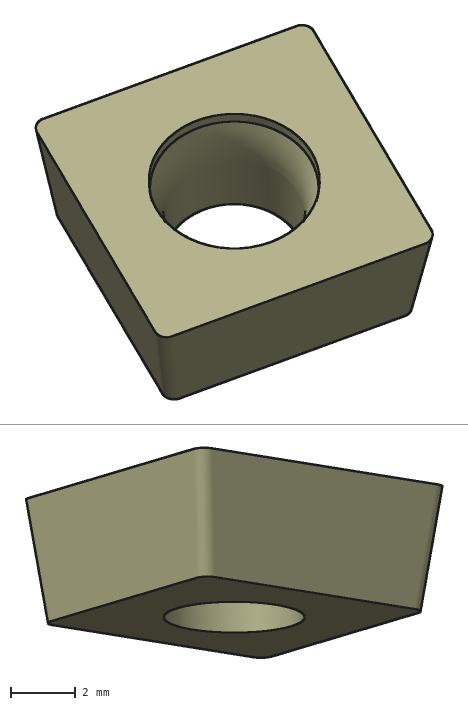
import cadquery as cq
import math

edge_length = 9.525
thickness = 3.97
relief_angle = 7.0
corner_radius = 0.4

bore_radius = 2.2
mouth_radius = 2.67
mouth_depth = 0.335
mouth_angle = 7.0
seat_curve_radius = 2.56

flank_inset = thickness * math.tan(math.radians(relief_angle))


def rounded_square(side):
    """Square outline with rounded corners."""
    return cq.Sketch().rect(side, side).vertices().fillet(corner_radius)


def insert_body():
    """Tapered block whose corner radius stays constant over its height."""
    bottom = rounded_square(edge_length - 2 * flank_inset)
    top = rounded_square(edge_length).moved(cq.Location(cq.Vector(0, 0, thickness)))
    return cq.Workplane("XY").placeSketch(bottom, top).loft(ruled=True)


def screw_hole():
    """Revolved cutter for the through hole with its flared screw seat."""
    seat_radius = mouth_radius - mouth_depth * math.tan(math.radians(mouth_angle))
    seat_top = thickness - mouth_depth

    arc_centre_x = bore_radius + seat_curve_radius
    arc_angle = math.acos((arc_centre_x - seat_radius) / seat_curve_radius)
    bore_top = seat_top - seat_curve_radius * math.sin(arc_angle)
    arc_middle = (
        arc_centre_x - seat_curve_radius * math.cos(arc_angle / 2),
        bore_top + seat_curve_radius * math.sin(arc_angle / 2),
    )
    return (
        cq.Workplane("XZ")
        .lineTo(bore_radius, 0)
        .lineTo(bore_radius, bore_top)
        .threePointArc(arc_middle, (seat_radius, seat_top))
        .lineTo(mouth_radius, thickness)
        .lineTo(0, thickness)
        .close()
        .revolve(360, (0, 0, 0), (0, 1, 0))
    )


result = insert_body().cut(screw_hole())